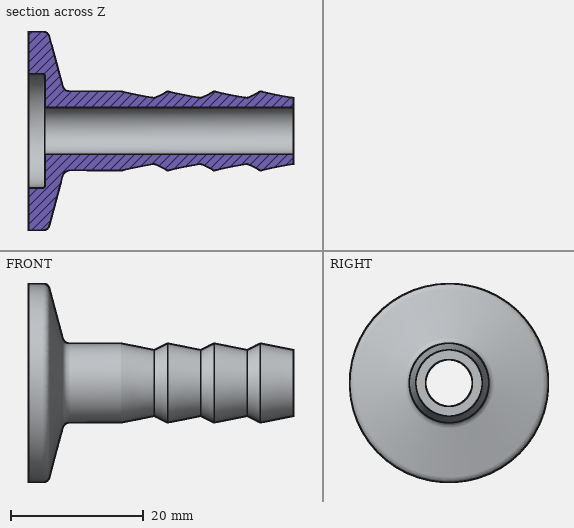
import cadquery as cq
import math

total_length = 40.0
bore_radius = 3.5

flange_radius = 15.0
flange_corner_x = 3.0
cone_angle = math.radians(15.0)
flange_fillet = 1.0

recess_radius = 8.6
recess_depth = 2.5
recess_fillet = 0.35

tube_radius = 6.0
valley_radius = 5.0
barb_count = 3
barb_pitch = 7.0
taper_length = 5.0
first_taper_x = total_length - taper_length - barb_count * barb_pitch

cone_foot_x = flange_corner_x + (flange_radius - tube_radius) * math.tan(cone_angle)


def flange():
    """Revolved flange with its conical back and a stub of tube, edges rounded."""
    profile = [
        (0, 0),
        (0, flange_radius),
        (flange_corner_x, flange_radius),
        (cone_foot_x, tube_radius),
        (first_taper_x, tube_radius),
        (first_taper_x, 0),
    ]
    body = revolve_about_x(profile)
    cone_ends = cq.selectors.BoxSelector(
        (flange_corner_x - flange_fillet, -flange_radius, -flange_radius),
        (cone_foot_x + flange_fillet, flange_radius, flange_radius),
    )
    return body.edges("%CIRCLE").edges(cone_ends).fillet(flange_fillet)


def hose_tail():
    """Revolved barbs: a lead taper off the tube, then one crest per pitch."""
    profile = [(first_taper_x, 0), (first_taper_x, tube_radius)]
    for barb in range(1, barb_count + 1):
        crest_x = first_taper_x + barb * barb_pitch
        valley_x = crest_x - barb_pitch + taper_length
        profile.append((valley_x, valley_radius))
        profile.append((crest_x, tube_radius))
    profile.append((total_length, valley_radius))
    profile.append((total_length, 0))
    return revolve_about_x(profile)


def recess():
    """Blind round pocket cutter, rounded where its wall meets the floor."""
    cutter = cq.Workplane("YZ").circle(recess_radius).extrude(recess_depth)
    return cutter.faces(">X").edges().fillet(recess_fillet)


def bore():
    """Cutter for the hole through the full length."""
    return cq.Workplane("YZ").circle(bore_radius).extrude(total_length)


def revolve_about_x(profile):
    """Full turn of a closed (x, radius) outline about the X axis."""
    return cq.Workplane("XZ").polyline(profile).close().revolve(360, (0, 0, 0), (1, 0, 0))


result = flange().union(hose_tail()).cut(recess()).cut(bore())